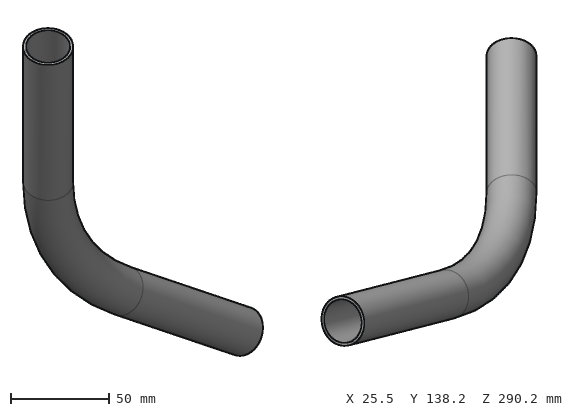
import cadquery as cq
import math

overall_height = 290.2
outer_diameter = 25.5
inner_diameter = 22.3
bend_radius = 152.3
bend_angle = math.radians(45)

bend_drop = bend_radius * math.sin(bend_angle)
rim_drop = outer_diameter / 2 * math.sin(bend_angle)
leg_length = (overall_height - bend_drop - rim_drop) / (1 + math.cos(bend_angle))


def bend_point(angle):
    """Centreline point (Y, Z) after turning through angle; the bend starts at the origin."""
    return (bend_radius * (1 - math.cos(angle)), -bend_radius * math.sin(angle))


bend_end = bend_point(bend_angle)
lower_end = (
    bend_end[0] + leg_length * math.sin(bend_angle),
    bend_end[1] - leg_length * math.cos(bend_angle),
)

centreline = (
    cq.Workplane("YZ")
    .moveTo(0, leg_length)
    .lineTo(0, 0)
    .threePointArc(bend_point(bend_angle / 2), bend_end)
    .lineTo(*lower_end)
)

result = (
    cq.Workplane("XY", origin=(0, 0, leg_length))
    .circle(outer_diameter / 2)
    .circle(inner_diameter / 2)
    .sweep(centreline)
)